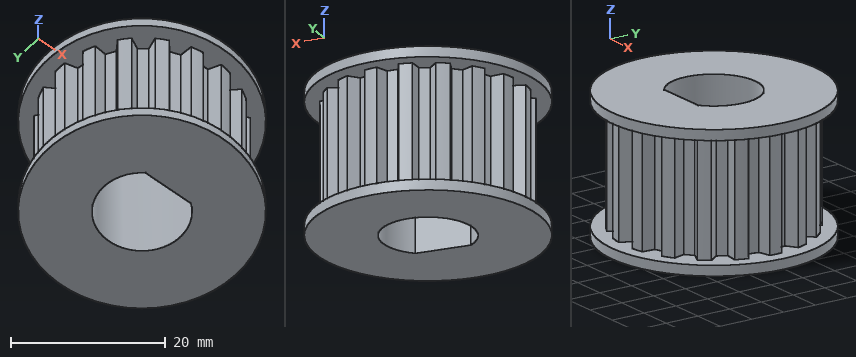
import cadquery as cq
import math

flange_radius = 16.0
total_height = 20.0
flange_thickness = 1.5

tooth_count = 18
tip_radius = 14.0
groove_floor_radius = 12.2
groove_floor_width = 1.5
groove_mouth_width = 3.05

bore_radius = 6.45
bore_flat_distance = 5.2

drum_height = total_height - 2 * flange_thickness


def disc(radius, height, base_z):
    return cq.Workplane("XY").workplane(offset=base_z).circle(radius).extrude(height)


def groove_cutter():
    """Trapezoidal groove on the -Y side, running the full height of the drum."""
    floor_half = groove_floor_width / 2
    mouth_half = groove_mouth_width / 2
    mouth_distance = math.sqrt(tip_radius**2 - mouth_half**2)
    flank_run = (mouth_half - floor_half) / (mouth_distance - groove_floor_radius)
    outer_half = floor_half + flank_run * (flange_radius - groove_floor_radius)
    return (
        cq.Workplane("XY")
        .workplane(offset=flange_thickness)
        .moveTo(-floor_half, -groove_floor_radius)
        .lineTo(floor_half, -groove_floor_radius)
        .lineTo(outer_half, -flange_radius)
        .lineTo(-outer_half, -flange_radius)
        .close()
        .extrude(drum_height)
    )


def toothed_drum():
    drum = disc(tip_radius, drum_height, flange_thickness)
    groove = groove_cutter()
    for index in range(tooth_count):
        angle = index * 360 / tooth_count
        drum = drum.cut(groove.rotate((0, 0, 0), (0, 0, 1), angle))
    return drum


def d_bore():
    flat_half = math.sqrt(bore_radius**2 - bore_flat_distance**2)
    return (
        cq.Workplane("XY")
        .moveTo(-flat_half, -bore_flat_distance)
        .threePointArc((0, bore_radius), (flat_half, -bore_flat_distance))
        .close()
        .extrude(total_height)
    )


bottom_flange = disc(flange_radius, flange_thickness, 0)
top_flange = disc(flange_radius, flange_thickness, total_height - flange_thickness)

result = toothed_drum().union(bottom_flange).union(top_flange).cut(d_bore())